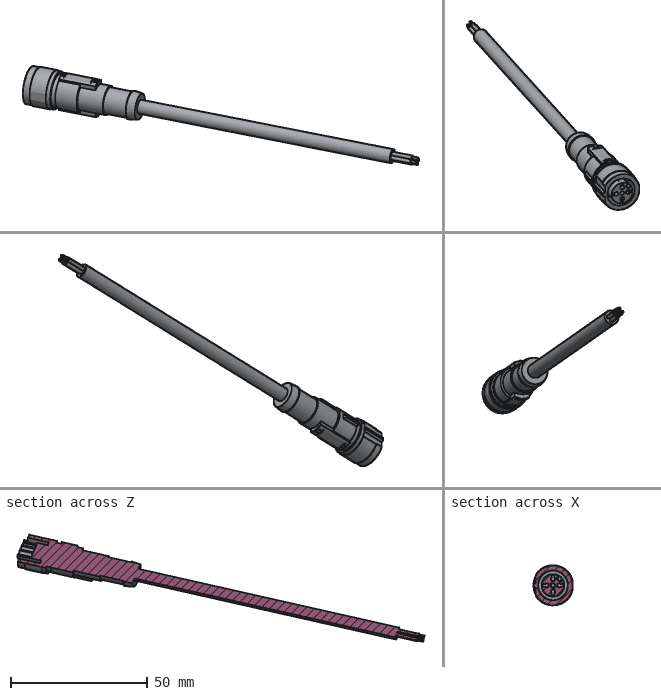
import cadquery as cq
import math

NUT_FRONT_X = 1.0
NUT_GRIP_X = 3.75
RING_X = 10.2
NECK_X = 11.8
BODY_X = 13.5
SHOULDER_X = 22.0
CLIP_END_X = 28.0
SLEEVE_X = 32.0
COLLAR_X = 41.0
COLLAR_END_X = 44.5
CABLE_END_X = 144.5
INSULATION_END_X = 152.3
TOTAL_LENGTH = 154.5

GRIP_RADIUS = 14.79 / 2
NUT_RADIUS = 14.4 / 2
NECK_RADIUS = 6.35
BODY_RADIUS = 6.45
TAIL_RADIUS = 5.52
SLEEVE_RADIUS = 5.0
COLLAR_RADIUS = 5.4
COLLAR_END_RADIUS = 4.95
CABLE_RADIUS = 2.65

CARRIER_RADIUS = 4.15
BORE_RADIUS = 5.4
BORE_DEPTH = 8.0
OUTER_CONTACT_COUNT = 4
CONTACT_RADIUS = 0.75
CONTACT_PITCH_RADIUS = 2.33
CONTACT_DEPTH = 5.0
SLOT_WIDTH = 0.9
SLOT_END_RADIUS = 3.7
KEYWAY_WIDTH = 1.4
KEYWAY_FLOOR_RADIUS = 2.7
KEYWAY_ANGLE = 45.0

RIB_HALF_TOP = 0.45
RIB_HALF_BASE = 1.15
RIB_BASE_Y = 6.2
NUT_RIB_SEAT_Y = 6.35
RIB_END_X = 19.5
RIB_END_RUN = 1.0

CLIP_RADIUS = 7.0
CLIP_HALF_WIDTH = 2.765
CLIP_FLAT_Z = 6.8
CLIP_FLAT_START_X = 14.9
CLIP_FLAT_END_X = 25.6
CLIP_RIDGE_HALF_WIDTH = 0.75
CLIP_RIDGE_Z = 7.2

WIRE_COUNT = 4
WIRE_REACH = 1.86
WIRE_PITCH_RADIUS = WIRE_REACH / (1 + math.sin(math.pi / WIRE_COUNT))
WIRE_RADIUS = WIRE_REACH - WIRE_PITCH_RADIUS
CONDUCTOR_RADIUS = 0.5


def box(x_range, y_range, z_range):
    """Axis-aligned block spanning the three (low, high) ranges."""
    lengths = [high - low for low, high in (x_range, y_range, z_range)]
    corner = (x_range[0], y_range[0], z_range[0])
    return cq.Workplane("XY").box(*lengths, centered=False).translate(corner)


def turned(plane, points):
    """Solid of revolution about X from outline points in the given plane, whose local x is X."""
    outline = [(points[0][0], 0), *points, (points[-1][0], 0)]
    return cq.Workplane(plane).polyline(outline).close().revolve(360, (0, 0, 0), (1, 0, 0))


def rod(start_x, end_x, radius, y=0.0, z=0.0):
    """Cylinder parallel to X."""
    return turned("XY", [(start_x, -radius), (end_x, -radius)]).translate((0, y, z))


def rib(start_x, end_x):
    """Trapezoidal bar along X on the +Y side, flush with the nut radius."""
    section = [
        (0, -RIB_HALF_BASE),
        (RIB_BASE_Y, -RIB_HALF_BASE),
        (NUT_RADIUS, -RIB_HALF_TOP),
        (NUT_RADIUS, RIB_HALF_TOP),
        (RIB_BASE_Y, RIB_HALF_BASE),
        (0, RIB_HALF_BASE),
    ]
    return cq.Workplane("YZ", origin=(start_x, 0, 0)).polyline(section).close().extrude(end_x - start_x)


def nut():
    """Coupling nut with flats on -Y and +Y, the orientation rib on +Y and the rear ring."""
    front = rod(NUT_FRONT_X, NUT_GRIP_X, NUT_RADIUS)
    grip = rod(NUT_GRIP_X, RING_X, GRIP_RADIUS)
    between_flats = box((NUT_FRONT_X, RING_X), (-NUT_RADIUS, NUT_RIB_SEAT_Y), (-GRIP_RADIUS, GRIP_RADIUS))
    sleeve = front.union(grip).intersect(between_flats)
    sleeve = sleeve.union(rib(NUT_FRONT_X, RING_X))
    bore = rod(NUT_FRONT_X, NUT_FRONT_X + BORE_DEPTH, BORE_RADIUS)
    return sleeve.cut(bore).union(rod(RING_X, NECK_X, NUT_RADIUS))


def carrier():
    """Contact carrier with five sockets, their radial slots and the coding keyway."""
    solid = rod(0, NUT_FRONT_X + BORE_DEPTH, CARRIER_RADIUS)
    solid = solid.cut(rod(0, CONTACT_DEPTH, CONTACT_RADIUS))
    half_slot = SLOT_WIDTH / 2
    slot = box((0, CONTACT_DEPTH), (CONTACT_PITCH_RADIUS, SLOT_END_RADIUS), (-half_slot, half_slot))
    socket = rod(0, CONTACT_DEPTH, CONTACT_RADIUS, y=CONTACT_PITCH_RADIUS).union(slot)
    for index in range(OUTER_CONTACT_COUNT):
        angle = 360 * index / OUTER_CONTACT_COUNT
        solid = solid.cut(socket.rotate((0, 0, 0), (1, 0, 0), angle))
    half_keyway = KEYWAY_WIDTH / 2
    keyway = box((0, BORE_DEPTH), (-BORE_RADIUS, -KEYWAY_FLOOR_RADIUS), (-half_keyway, half_keyway))
    return solid.cut(keyway.rotate((0, 0, 0), (1, 0, 0), -KEYWAY_ANGLE))


def clip():
    """Label clip on the +Z side: curved block, flat label seat and a ridge at each end."""
    width = (-CLIP_HALF_WIDTH, CLIP_HALF_WIDTH)
    block = rod(BODY_X, CLIP_END_X, CLIP_RADIUS)
    block = block.intersect(box((BODY_X, CLIP_END_X), width, (0, CLIP_RADIUS)))
    ridge_width = (-CLIP_RIDGE_HALF_WIDTH, CLIP_RIDGE_HALF_WIDTH)
    block = block.union(box((BODY_X, CLIP_END_X), ridge_width, (0, CLIP_RIDGE_Z)))
    seat = box((CLIP_FLAT_START_X, CLIP_FLAT_END_X), width, (CLIP_FLAT_Z, CLIP_RIDGE_Z))
    return block.cut(seat)


def collar():
    """End collar whose crown curves down from its front edge towards the cable."""
    collar_length = COLLAR_END_X - COLLAR_X
    collar_drop = COLLAR_RADIUS - COLLAR_END_RADIUS
    crown_radius = (collar_length**2 + collar_drop**2) / (2 * collar_drop)
    crown_half_angle = math.atan2(collar_length, crown_radius - collar_drop) / 2
    crown_middle = (
        COLLAR_X + crown_radius * math.sin(crown_half_angle),
        crown_radius * (1 - math.cos(crown_half_angle)) - COLLAR_RADIUS,
    )
    return (
        cq.Workplane("XY")
        .moveTo(COLLAR_X, 0)
        .lineTo(COLLAR_X, -COLLAR_RADIUS)
        .threePointArc(crown_middle, (COLLAR_END_X, -COLLAR_END_RADIUS))
        .lineTo(COLLAR_END_X, 0)
        .close()
        .revolve(360, (0, 0, 0), (1, 0, 0))
    )


def body():
    """Overmoulded body with the orientation rib and the two label clips."""
    front = turned(
        "XY",
        [
            (NECK_X, -NECK_RADIUS),
            (BODY_X, -NECK_RADIUS),
            (BODY_X, -BODY_RADIUS),
            (SHOULDER_X, -BODY_RADIUS),
        ],
    )
    tail = turned(
        "XZ",
        [
            (SHOULDER_X, TAIL_RADIUS),
            (SLEEVE_X, TAIL_RADIUS),
            (SLEEVE_X, SLEEVE_RADIUS),
            (COLLAR_X, SLEEVE_RADIUS),
        ],
    )
    foot_x = RIB_END_X + RIB_END_RUN
    ramp = [(RIB_END_X, NUT_RADIUS), (foot_x, NUT_RADIUS), (foot_x, RIB_BASE_Y)]
    ramp_cut = cq.Workplane("XY").polyline(ramp).close().extrude(RIB_HALF_BASE, both=True)
    body_rib = rib(BODY_X, foot_x).cut(ramp_cut)
    upper_clip = clip()
    lower_clip = upper_clip.mirror("XY")
    return front.union(tail).union(collar()).union(body_rib).union(upper_clip).union(lower_clip)


def cable():
    """Cable jacket with the stripped wires at its free end."""
    solid = turned("XY", [(COLLAR_END_X, -CABLE_RADIUS), (CABLE_END_X, -CABLE_RADIUS)])
    for index in range(WIRE_COUNT):
        angle = 2 * math.pi * index / WIRE_COUNT
        y = WIRE_PITCH_RADIUS * math.cos(angle)
        z = WIRE_PITCH_RADIUS * math.sin(angle)
        solid = solid.union(rod(CABLE_END_X, INSULATION_END_X, WIRE_RADIUS, y, z))
        solid = solid.union(rod(INSULATION_END_X, TOTAL_LENGTH, CONDUCTOR_RADIUS, y, z))
    return solid


result = nut().union(carrier()).union(body()).union(cable())